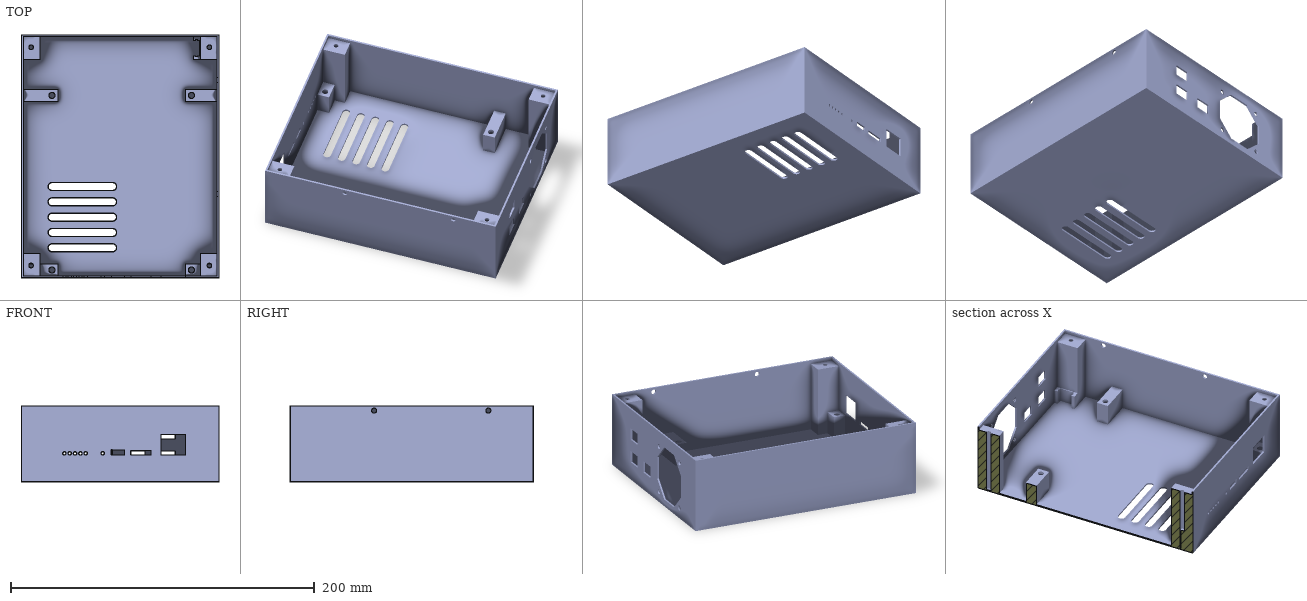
import cadquery as cq

LENGTH_X = 130.0
LENGTH_Y = 160.0
HEIGHT = 50.0
WALL = 1.2
FLOOR = 1.2
RIGHT = LENGTH_X / 2
BACK = LENGTH_Y / 2
RIGHT_INNER = RIGHT - WALL
BACK_INNER = BACK - WALL
WALL_CUT = 3 * WALL

POST_X = 11.0
POST_Y = 15.0
POST_TOP = 47.5
POST_HOLE_X = 58.7
POST_HOLE_Y = 71.8
POST_HOLE_DIAMETER = 3.0

BOSS_TOP = 16.2
BOSS_DEPTH_Y = 8.0
BOSS_LEFT_END = -41.0
BOSS_RIGHT_END = 42.9
BOSS_HOLE_INSET = 4.0
BOSS_HOLE_DIAMETER = 4.0
BACK_BOSS_FRONT = 36.2
FRONT_BOSS_FRONT = -BACK_INNER

VENT_X = -25.0
VENT_COUNT = 5
VENT_PITCH = 10.0
VENT_LENGTH = 45.0
VENT_WIDTH = 5.1
VENT_MIDDLE_Y = -40.0

FAN_X = -23.8
FAN_Z = 23.2
FAN_CORNER_DIAMETER = 40.0
FAN_SIDES = 8
FAN_SCREW_SPACING = 32.0
FAN_SCREW_DIAMETER = 3.4

SOCKET_X = 10.5
SOCKET_Z = 7.8
SOCKET_RIGHT_COLUMN = 25.6
SOCKET_LEFT_COLUMN = 5.6
SOCKET_LOW = 12.3
SOCKET_HIGH = 28.3

LIGHT_DIAMETER = 2.0
LIGHT_Z = 18.7
LIGHT_COUNT = 5
LIGHT_PITCH = 3.5
LIGHT_FIRST_X = -36.8
BUTTON_X = -11.5
PORT_BOTTOM = 17.8
PORTS = [
    (-6.0, 8.8, 3.2),
    (7.0, 13.1, 2.7),
    (26.9, 16.0, 13.3),
]

SIDE_HOLE_DIAMETER = 3.4
SIDE_HOLE_Z = 46.9
SIDE_HOLE_YS = (50.4, -24.8)

HOLDER_TOP = 11.2
HOLDER_REACH = 4.5
HOLDER_BACK_PLATE = 0.6
HOLDER_ARM = 2.4
GROOVE_OFFSET = 1.3
GROOVE_WIDTH = 1.3
GROOVE_DEPTH = 0.5


def block(x0, x1, y0, y1, z0, z1):
    """Box between the given limits."""
    return cq.Workplane("XY").box(x1 - x0, y1 - y0, z1 - z0, centered=False).translate((x0, y0, z0))


def drill_z(x, y, diameter, bottom, top):
    return cq.Workplane("XY", origin=(x, y, bottom)).circle(diameter / 2).extrude(top - bottom)


def drill_y(x, z, diameter, y):
    """Cylinder through a front or back wall whose mid-plane is at y."""
    plane = cq.Workplane("XZ", origin=(x, y, z))
    return plane.circle(diameter / 2).extrude(WALL_CUT / 2, both=True)


def window(left, bottom, width, height, y):
    """Rectangular cutter through a front or back wall whose mid-plane is at y."""
    half = WALL_CUT / 2
    return block(left, left + width, y - half, y + half, bottom, bottom + height)


def make_shell():
    outer = block(-RIGHT, RIGHT, -BACK, BACK, 0, HEIGHT)
    return outer.cut(block(-RIGHT_INNER, RIGHT_INNER, -BACK_INNER, BACK_INNER, FLOOR, HEIGHT))


def add_posts(body):
    corners = [(side, end) for side in (-1, 1) for end in (-1, 1)]
    for side, end in corners:
        post = cq.Workplane("XY").box(POST_X, POST_Y, POST_TOP, centered=(True, True, False))
        x = side * (RIGHT_INNER - POST_X / 2)
        y = end * (BACK_INNER - POST_Y / 2)
        body = body.union(post.translate((x, y, 0)))
    for side, end in corners:
        hole = drill_z(side * POST_HOLE_X, end * POST_HOLE_Y, POST_HOLE_DIAMETER, FLOOR, POST_TOP)
        body = body.cut(hole)
    return body


def add_bosses(body):
    for front in (FRONT_BOSS_FRONT, BACK_BOSS_FRONT):
        back = front + BOSS_DEPTH_Y
        body = body.union(block(-RIGHT_INNER, BOSS_LEFT_END, front, back, 0, BOSS_TOP))
        body = body.union(block(BOSS_RIGHT_END, RIGHT_INNER, front, back, 0, BOSS_TOP))
        hole_y = front + BOSS_DEPTH_Y / 2
        for hole_x in (BOSS_LEFT_END - BOSS_HOLE_INSET, BOSS_RIGHT_END + BOSS_HOLE_INSET):
            body = body.cut(drill_z(hole_x, hole_y, BOSS_HOLE_DIAMETER, FLOOR, BOSS_TOP))
    return body


def add_holder(body):
    post_face = RIGHT_INNER - POST_X
    tip = post_face - HOLDER_REACH
    front = BACK_INNER - POST_Y
    pocket_front = front + HOLDER_ARM
    pocket_back = BACK_INNER - HOLDER_ARM
    holder = block(tip, post_face, front, BACK_INNER, 0, HOLDER_TOP)
    pocket = block(tip, post_face - HOLDER_BACK_PLATE, pocket_front, pocket_back, FLOOR, HOLDER_TOP)
    groove_left = tip + GROOVE_OFFSET
    grooves = block(
        groove_left,
        groove_left + GROOVE_WIDTH,
        pocket_front - GROOVE_DEPTH,
        pocket_back + GROOVE_DEPTH,
        FLOOR,
        HOLDER_TOP,
    )
    return body.union(holder.cut(pocket).cut(grooves))


def cut_vents(body):
    for i in range(VENT_COUNT):
        y = VENT_MIDDLE_Y + (i - (VENT_COUNT - 1) / 2) * VENT_PITCH
        slot = cq.Workplane("XY", origin=(VENT_X, y, 0)).slot2D(VENT_LENGTH, VENT_WIDTH).extrude(FLOOR)
        body = body.cut(slot)
    return body


def cut_back_wall(body):
    wall_y = BACK - WALL / 2
    fan = cq.Workplane("XZ").polygon(FAN_SIDES, FAN_CORNER_DIAMETER).extrude(WALL_CUT / 2, both=True)
    fan = fan.rotate((0, 0, 0), (0, 1, 0), 180 / FAN_SIDES)
    body = body.cut(fan.translate((FAN_X, wall_y, FAN_Z)))
    half = FAN_SCREW_SPACING / 2
    for dx in (-half, half):
        for dz in (-half, half):
            body = body.cut(drill_y(FAN_X + dx, FAN_Z + dz, FAN_SCREW_DIAMETER, wall_y))
    for left, bottom in (
        (SOCKET_LEFT_COLUMN, SOCKET_LOW),
        (SOCKET_RIGHT_COLUMN, SOCKET_LOW),
        (SOCKET_RIGHT_COLUMN, SOCKET_HIGH),
    ):
        body = body.cut(window(left, bottom, SOCKET_X, SOCKET_Z, wall_y))
    return body


def cut_front_wall(body):
    wall_y = -BACK + WALL / 2
    light_xs = [LIGHT_FIRST_X + i * LIGHT_PITCH for i in range(LIGHT_COUNT)]
    for x in light_xs + [BUTTON_X]:
        body = body.cut(drill_y(x, LIGHT_Z, LIGHT_DIAMETER, wall_y))
    for left, width, height in PORTS:
        body = body.cut(window(left, PORT_BOTTOM, width, height, wall_y))
    return body


def cut_right_wall(body):
    for y in SIDE_HOLE_YS:
        plane = cq.Workplane("YZ", origin=(RIGHT_INNER, y, SIDE_HOLE_Z))
        body = body.cut(plane.circle(SIDE_HOLE_DIAMETER / 2).extrude(WALL))
    return body


result = make_shell()
result = add_posts(result)
result = add_bosses(result)
result = add_holder(result)
result = cut_vents(result)
result = cut_back_wall(result)
result = cut_front_wall(result)
result = cut_right_wall(result)